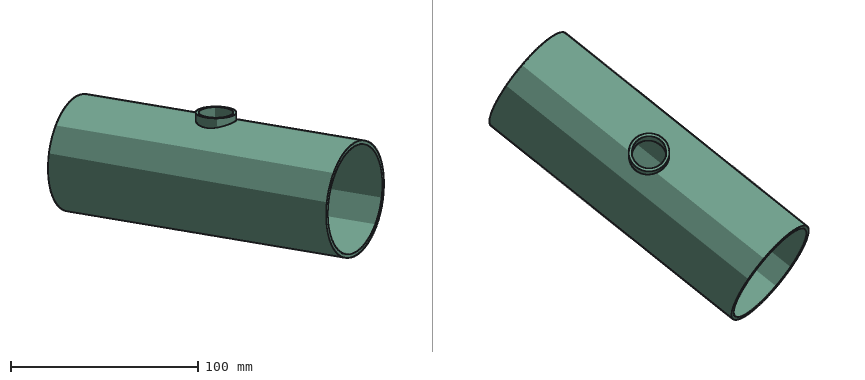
import cadquery as cq

pipe_length = 170
pipe_outer_diameter = 63.5
pipe_bore_diameter = 59.5

branch_outer_diameter = 21.8
branch_bore_diameter = 18.4
overall_height = 67.3
branch_top = overall_height - pipe_outer_diameter / 2


def pipe_cylinder(diameter):
    """Full-length cylinder along the pipe axis."""
    return cq.Workplane("YZ").circle(diameter / 2).extrude(pipe_length / 2, both=True)


def branch_cylinder(diameter):
    """Vertical cylinder from the pipe axis up to the rim of the branch."""
    return cq.Workplane("XY").circle(diameter / 2).extrude(branch_top)


outer_body = pipe_cylinder(pipe_outer_diameter).union(branch_cylinder(branch_outer_diameter))

result = outer_body.cut(pipe_cylinder(pipe_bore_diameter)).cut(branch_cylinder(branch_bore_diameter))